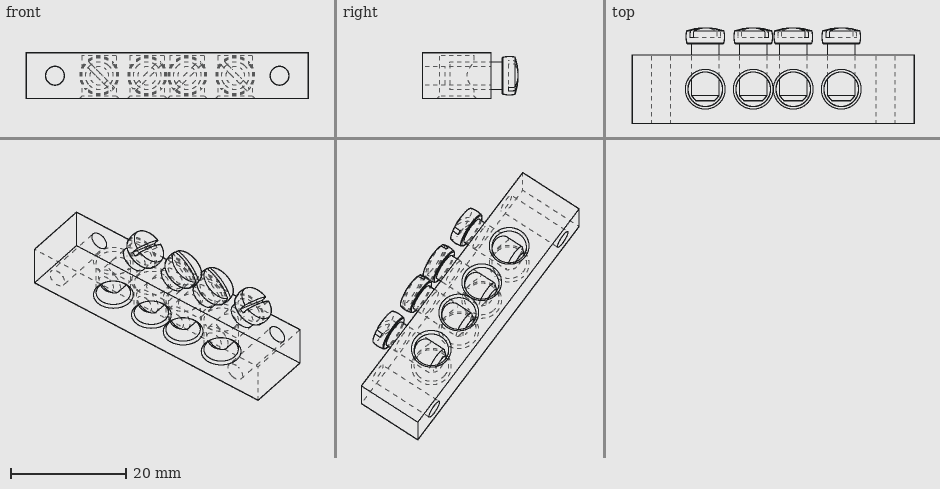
import cadquery as cq
import math

block_length = 49.0
block_depth = 11.95
block_height = 8.0

mount_hole_diameter = 3.25
mount_hole_end_distance = 5.0

wire_hole_diameter = 6.0
wire_hole_chamfer = 0.465
wire_hole_y = block_depth / 2

inner_spacing = 6.95
outer_spacing = 23.6
slot_tilt = 45.0
stations = [
    (-outer_spacing / 2, slot_tilt),
    (-inner_spacing / 2, -slot_tilt),
    (inner_spacing / 2, -slot_tilt),
    (outer_spacing / 2, slot_tilt),
]

overall_depth = 16.65
shank_diameter = 4.8
shank_length = 9.9
tip_diameter = 3.25
tip_length = 0.9
head_end_diameter = 6.45
head_middle_diameter = 6.75
head_side_height = 2.25
head_edge_chamfer = 0.15
dome_height = 0.55
slot_width = 0.85
slot_depth = 1.7

head_top_y = overall_depth
head_rim_y = head_top_y - dome_height
head_seat_y = head_rim_y - head_side_height
tip_y = head_seat_y - shank_length


def make_block():
    """Rectangular bar with mounting holes, wire holes and screw holes."""
    block = cq.Workplane("XY").box(block_length, block_depth, block_height)
    block = block.translate((0, block_depth / 2, 0))

    mount_x = block_length / 2 - mount_hole_end_distance
    for x in (-mount_x, mount_x):
        block = block.cut(cylinder_along_y(mount_hole_diameter, x, 0, block_depth))

    for x, _ in stations:
        block = block.cut(cylinder_along_y(shank_diameter, x, wire_hole_y, block_depth))
        block = block.cut(wire_hole_cutter().translate((x, wire_hole_y, 0)))
    return block


def cylinder_along_y(diameter, x, start_y, end_y):
    """Solid cylinder parallel to Y, centred on Z = 0."""
    axis = cq.Vector(0, 1, 0)
    return cq.Solid.makeCylinder(diameter / 2, end_y - start_y, cq.Vector(x, start_y, 0), axis)


def wire_hole_cutter():
    """Round cutter along Z that widens to a countersink at both block faces."""
    radius = wire_hole_diameter / 2
    mouth_radius = radius + wire_hole_chamfer
    face_z = block_height / 2
    straight_z = face_z - wire_hole_chamfer
    return (
        cq.Workplane("XZ")
        .moveTo(0, -face_z)
        .lineTo(mouth_radius, -face_z)
        .lineTo(radius, -straight_z)
        .lineTo(radius, straight_z)
        .lineTo(mouth_radius, face_z)
        .lineTo(0, face_z)
        .close()
        .revolve(360, (0, 0), (0, 1))
    )


def make_screw(x, tilt):
    """Slotted screw with a tapered tip and a barrel-sided, domed head."""
    shank_radius = shank_diameter / 2
    head_end_radius = head_end_diameter / 2
    head_middle_y = (head_seat_y + head_rim_y) / 2

    dome_radius = (head_end_radius**2 + dome_height**2) / (2 * dome_height)
    dome_mid_x = head_end_radius / 2
    dome_mid_y = head_top_y - dome_radius + math.sqrt(dome_radius**2 - dome_mid_x**2)

    body = (
        cq.Workplane("XY")
        .moveTo(0, tip_y)
        .lineTo(tip_diameter / 2, tip_y)
        .lineTo(shank_radius, tip_y + tip_length)
        .lineTo(shank_radius, head_seat_y)
        .lineTo(head_end_radius - head_edge_chamfer, head_seat_y)
        .lineTo(head_end_radius, head_seat_y + head_edge_chamfer)
        .threePointArc((head_middle_diameter / 2, head_middle_y), (head_end_radius, head_rim_y))
        .threePointArc((dome_mid_x, dome_mid_y), (0, head_top_y))
        .close()
        .revolve(360, (0, 0), (0, 1))
    )
    slot_length = 2 * head_middle_diameter
    slot = (
        cq.Workplane("XY")
        .box(slot_length, slot_depth, slot_width)
        .translate((0, head_top_y - slot_depth / 2, 0))
        .rotate((0, 0, 0), (0, 1, 0), tilt)
    )
    return body.cut(slot).translate((x, 0, 0))


block = make_block()
screws = [make_screw(x, tilt) for x, tilt in stations]

result = cq.Compound.makeCompound([*block.solids().vals(), *[screw.val() for screw in screws]])